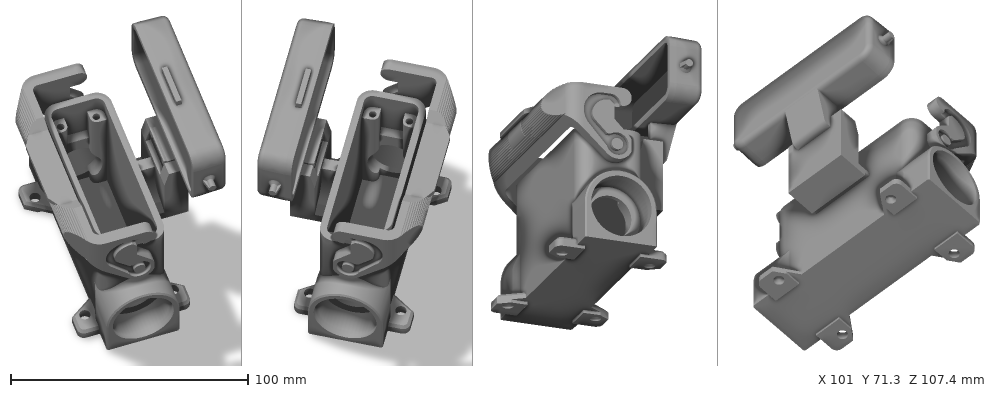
import cadquery as cq
import math

body_half_x = 40.0
body_half_y = 14.8
body_corner = 6.7
base_z = 1.4
rim_z = 57.0
wall = 3.0
floor_z = 4.4

sleeve_end_x = 50.5
sleeve_radius = 16.2
sleeve_axis_z = 17.5
sleeve_bore_radius = 13.6
entry_radius = 9.7
sleeve_edge = 0.6
sleeve_taper_start_x = 36.0
sleeve_taper_end_x = 30.4
partition = 2.5
partition_top_z = 33.3
partition_slope = 2.5

post_x = 33.1
post_y = 8.0
post_radius = 2.8
post_top_z = 49.2
post_hole_radius = 1.6
post_hole_depth = 8.6

foot_outer_x = 40.4
foot_outer_y = 25.1
foot_inner_y = 12.6
foot_tip_x = 30.7
foot_root_x = 22.0
foot_top_z = 4.4
foot_corner = 3.1
foot_edge = 1.2
foot_pad_inner_x = 27.3
foot_hole_x = 32.0
foot_hole_y = 19.8
foot_hole_radius = 2.4

lever_half_x = 45.9
lever_inner_x = 40.6
lever_top_z = 73.2
lever_inner_y = -18.5
lever_inner_corner = 2.7
pivot_z = 47.6
pivot_eye_radius = 6.9
pivot_pin_radius = 2.6
washer_radius = 3.9
hook_radius = 4.1
hook_tip_y = 6.4
throat_y = -1.3
grip_radius = 7.0
grip_axis_y = -22.0
grip_heel_y = -22.8
shoulder_y = -19.9
shoulder_angle = 31.3
shoulder_radius = 8.1
rib_count = 24
rib_depth = 0.2
panel_half_x = 7.4
panel_end_angle = math.radians(135)
dip_z = 70.9
dip_top_half_x = 24.3
dip_floor_half_x = 19.0
lip_front_y = -30.1
lip_half_x = 14.3
lip_root_y = -27.1
lip_thickness = 2.3
arm_recess = 2.0
recess_ring_radius = 5.0
recess_mouth_y = 1.5
recess_bend_y = 0.3
recess_bend_z = 68.4
recess_back_y = -2.4
recess_top_z = 69.8
recess_arch_y = -6.7
recess_front_y = -15.1
recess_front_z = 60.4
recess_elbow_y = -13.4
recess_elbow_z = 55.7
recess_tail_y = -4.9
recess_tail_z = 46.2
island_back_y = -3.2
island_top_z = 67.0
island_front_y = -11.2
island_front_z = 61.2
island_elbow_y = -9.9
island_elbow_z = 56.9
island_foot_y = -4.5
island_foot_z = 51.7
island_tail_y = -1.9

cover_half_x = 39.8
cover_bottom_z = 75.1
cover_top_z = 104.5
cover_corner = 6.4
cover_front_y = 25.8
cover_rim_y = 28.9
cover_back_y = 41.2
cover_draft = 2
cover_rim_crown = 0.2
cover_back_edge = 2.6
cover_pin_end_x = 44.6
cover_pin_y = 33.0
cover_pin_z = 89.6
cover_pin_radius = 1.6
cover_pin_base_radius = 2.7
cover_pin_base_height = 1.0
cover_pin_rib_half_z = 0.9
cover_pin_rib_height = 1.2
tab_half_x = 9.2
tab_top_z = 107.4
tab_top_back_y = 31.3
tab_root_back_y = 31.7

hinge_half_x = 15.1
hinge_back_y = 32.3
hinge_front_y = 21.6
hinge_bottom_z = 33.3
hinge_top_z = 64.7
hinge_top_front_y = 23.6
hinge_shoulder_z = 57.1
hinge_rib_top_z = 54.2
hinge_flare_z = 39.6
hinge_plate_z = 37.5
hinge_foot_y = 17.5
hinge_foot_z = 35.3
hinge_rib_half_x = 2.7
hinge_fillet = 8.1
cover_arm_slot_half_x = 6.2
cover_arm_top_z = 65.5
cover_arm_bottom_z = 57.5
cover_arm_back_y = 40.8
cover_arm_back_z = 76.5
cover_arm_sole_y = 33.8
cover_arm_heel_y = 36.4
cover_arm_heel_z = 59.4
cover_arm_web = 2.8
knuckle_y = 24.0
knuckle_lip_top_z = 66.2
knuckle_lip_front_y = 23.3
knuckle_lip_back_y = 25.0
knuckle_lip_bottom_z = 64.4
knuckle_tab_bottom_z = 62.7


def mirror_x(shape):
    """Return the shape joined with its mirror image across the YZ plane."""
    return shape.union(shape.mirror("YZ"))


def box(x0, x1, y0, y1, z0, z1):
    """Box between two opposite corners."""
    return cq.Workplane("XY").box(x1 - x0, y1 - y0, z1 - z0, centered=False).translate((x0, y0, z0))


def side_prism(profile, half_x):
    """Extrude a YZ outline symmetrically about the YZ plane."""
    return profile.extrude(half_x, both=True)


def x_cylinder(y, z, radius, x0, x1):
    """Cylinder along X."""
    return cq.Workplane("YZ", origin=(x0, y, z)).circle(radius).extrude(x1 - x0)


def rounded_block(half_x, half_y, corner, z0, z1):
    """Centred upright block with rounded vertical edges."""
    return box(-half_x, half_x, -half_y, half_y, z0, z1).edges("|Z").fillet(corner)


def make_body_block():
    """Solid outer block of the body before it is hollowed."""
    return rounded_block(body_half_x, body_half_y, body_corner, base_z, rim_z)


def make_sleeve():
    """D-shaped sleeve at the +X end, tapering into the body's long faces."""
    sleeve = (
        cq.Workplane("YZ")
        .moveTo(-sleeve_radius, base_z)
        .lineTo(-sleeve_radius, sleeve_axis_z)
        .threePointArc((0, sleeve_axis_z + sleeve_radius), (sleeve_radius, sleeve_axis_z))
        .lineTo(sleeve_radius, base_z)
        .close()
        .extrude(sleeve_end_x)
    )
    sleeve = sleeve.faces(">X").edges("not <Z").chamfer(sleeve_edge)
    plan = (
        cq.Workplane("XY")
        .moveTo(sleeve_taper_end_x, body_half_y)
        .lineTo(sleeve_taper_start_x, sleeve_radius)
        .lineTo(sleeve_end_x, sleeve_radius)
        .lineTo(sleeve_end_x, -sleeve_radius)
        .lineTo(sleeve_taper_start_x, -sleeve_radius)
        .lineTo(sleeve_taper_end_x, -body_half_y)
        .close()
        .extrude(rim_z)
    )
    return sleeve.intersect(plan)


def make_foot():
    """Mounting foot at the +X, +Y corner with a lower pad that stands below the body."""
    outline = (
        cq.Workplane("XY")
        .moveTo(foot_outer_x, foot_inner_y)
        .lineTo(foot_outer_x, foot_outer_y)
        .lineTo(foot_tip_x, foot_outer_y)
        .lineTo(foot_root_x, foot_inner_y)
        .close()
        .extrude(foot_top_z)
    )
    foot = outline.edges("|Z and >X and >Y").fillet(foot_corner)
    foot = foot.faces(">Z").chamfer(foot_edge)
    clearance = box(0, foot_pad_inner_x, 0, foot_outer_y, 0, base_z)
    hole = cq.Workplane("XY").center(foot_hole_x, foot_hole_y).circle(foot_hole_radius).extrude(foot_top_z)
    return foot.cut(clearance).cut(hole)


def make_posts():
    """Drilled screw posts filling the four cavity corners."""
    wall_x = body_half_x - wall / 2
    wall_y = body_half_y - wall / 2
    post = (
        cq.Workplane("XY", origin=(post_x, post_y, floor_z))
        .circle(post_radius)
        .extrude(post_top_z - floor_z)
        .union(box(post_x - post_radius, wall_x, post_y, wall_y, floor_z, post_top_z))
        .union(box(post_x, wall_x, post_y - post_radius, wall_y, floor_z, post_top_z))
    )
    hole = cq.Workplane("XY", origin=(post_x, post_y, post_top_z)).circle(post_hole_radius)
    post = post.cut(hole.extrude(-post_hole_depth))
    pair = mirror_x(post)
    return pair.union(pair.mirror("XZ")).intersect(make_body_block())


def make_housing():
    """Body with sleeves, feet and posts, hollowed from above and bored from both ends."""
    cavity_half_x = body_half_x - wall
    cavity_half_y = body_half_y - wall
    housing = make_body_block().union(mirror_x(make_sleeve()))
    feet = mirror_x(make_foot())
    housing = housing.union(feet).union(feet.mirror("XZ"))
    housing = housing.cut(rounded_block(cavity_half_x, cavity_half_y, body_corner - wall, floor_z, rim_z))

    partition_wall = (
        cq.Workplane("XZ")
        .moveTo(cavity_half_x, floor_z)
        .lineTo(cavity_half_x - partition, floor_z)
        .lineTo(cavity_half_x - partition, partition_top_z)
        .lineTo(cavity_half_x, partition_top_z + partition_slope)
        .close()
        .extrude(cavity_half_y, both=True)
        .intersect(make_body_block())
    )
    housing = housing.union(mirror_x(partition_wall)).union(make_posts())

    sleeve_bore = x_cylinder(0, sleeve_axis_z, sleeve_bore_radius, cavity_half_x, sleeve_end_x)
    housing = housing.cut(mirror_x(sleeve_bore))
    return housing.cut(x_cylinder(0, sleeve_axis_z, entry_radius, -sleeve_end_x, sleeve_end_x))


def lever_profile():
    """Side outline of the lever: hook, arm, pivot eye and round grip."""
    eye_reach = pivot_eye_radius * math.sqrt(0.5)
    hook_axis_y = hook_tip_y - hook_radius
    hook_bottom_z = lever_top_z - 2 * hook_radius
    throat_bottom_z = pivot_z + 2 * eye_reach - throat_y
    grip_axis_z = lever_top_z - grip_radius
    grip_heel_z = grip_axis_z - math.sqrt(grip_radius**2 - (grip_heel_y - grip_axis_y) ** 2)
    return (
        cq.Workplane("YZ")
        .moveTo(grip_axis_y, lever_top_z)
        .lineTo(hook_axis_y, lever_top_z)
        .threePointArc((hook_tip_y, lever_top_z - hook_radius), (hook_axis_y, hook_bottom_z))
        .lineTo(throat_y, hook_bottom_z)
        .lineTo(throat_y, throat_bottom_z)
        .lineTo(eye_reach, pivot_z + eye_reach)
        .threePointArc((0, pivot_z - pivot_eye_radius), (-eye_reach, pivot_z - eye_reach))
        .lineTo(grip_heel_y, grip_heel_z)
        .threePointArc((grip_axis_y - grip_radius, grip_axis_z), (grip_axis_y, lever_top_z))
        .close()
    )


def lever_plan():
    """Plan outline of the U-shaped lever with sloping shoulders."""
    shoulder_end_x = lever_half_x - (shoulder_y - lip_front_y) / math.tan(math.radians(shoulder_angle))
    outer = (
        cq.Workplane("XY")
        .moveTo(-lever_half_x, hook_tip_y)
        .lineTo(-lever_half_x, shoulder_y)
        .lineTo(-shoulder_end_x, lip_front_y)
        .lineTo(shoulder_end_x, lip_front_y)
        .lineTo(lever_half_x, shoulder_y)
        .lineTo(lever_half_x, hook_tip_y)
        .close()
        .extrude(lever_top_z)
    )
    outer = outer.edges("|Z and (<X or >X) and (not >Y)").fillet(shoulder_radius)
    inner = box(-lever_inner_x, lever_inner_x, lever_inner_y, hook_tip_y, 0, lever_top_z)
    return outer.cut(inner.edges("|Z and <Y").fillet(lever_inner_corner))


def make_grip_grooves():
    """Scalloped grooves along the round grip, leaving a smooth panel at its centre."""
    pitch = math.pi / rib_count
    axis_z = lever_top_z - grip_radius

    def on_grip(radius, angle):
        return (grip_axis_y - radius * math.sin(angle), axis_z + radius * math.cos(angle))

    grooves = cq.Workplane("YZ")
    for index in range(rib_count):
        angle = index * pitch
        start_x = panel_half_x if angle < panel_end_angle else 0
        ridge = on_grip(grip_radius, angle)
        next_ridge = on_grip(grip_radius, angle + pitch)
        valley = on_grip(grip_radius - rib_depth, angle + pitch / 2)
        outside = on_grip(grip_radius + rib_depth, angle + pitch / 2)
        groove = (
            cq.Workplane("YZ", origin=(start_x, 0, 0))
            .moveTo(*ridge)
            .threePointArc(valley, next_ridge)
            .lineTo(*outside)
            .close()
            .extrude(lever_half_x - start_x)
        )
        grooves = grooves.add(groove)
    return grooves.combine()


def make_arm_recess():
    """Shallow hooked recess in the outer face of the +X arm, around the pivot pin."""
    floor_x = lever_half_x - arm_recess
    hook_bottom_z = lever_top_z - 2 * hook_radius
    recess = (
        cq.Workplane("YZ", origin=(floor_x, 0, 0))
        .moveTo(recess_mouth_y, hook_bottom_z)
        .threePointArc((recess_bend_y, recess_bend_z), (recess_back_y, recess_top_z))
        .lineTo(recess_arch_y, recess_top_z)
        .tangentArcPoint((recess_front_y, recess_front_z), relative=False)
        .tangentArcPoint((recess_elbow_y, recess_elbow_z), relative=False)
        .lineTo(recess_tail_y, recess_tail_z)
        .lineTo(0, pivot_z)
        .lineTo(island_tail_y, island_foot_z)
        .lineTo(island_foot_y, island_foot_z)
        .lineTo(island_elbow_y, island_elbow_z)
        .tangentArcPoint((island_front_y, island_front_z), relative=False)
        .tangentArcPoint((island_back_y, island_top_z), relative=False)
        .lineTo(throat_y, hook_bottom_z)
        .close()
        .extrude(arm_recess)
    )
    ring = x_cylinder(0, pivot_z, recess_ring_radius, floor_x, lever_half_x)
    return recess.union(ring)


def make_lever():
    """Locking lever with its ribbed grip, thumb lip and pivot pins."""
    lever = side_prism(lever_profile(), lever_half_x).intersect(lever_plan())
    lever = lever.cut(mirror_x(make_grip_grooves()))
    dip = (
        cq.Workplane("XZ")
        .moveTo(-dip_top_half_x, lever_top_z)
        .lineTo(-dip_floor_half_x, dip_z)
        .lineTo(dip_floor_half_x, dip_z)
        .lineTo(dip_top_half_x, lever_top_z)
        .close()
        .extrude(-lip_front_y)
    )
    lip = (
        cq.Workplane("XY", origin=(0, 0, dip_z))
        .moveTo(-dip_floor_half_x, grip_axis_y)
        .lineTo(-dip_floor_half_x, lip_root_y)
        .lineTo(-lip_half_x, lip_front_y)
        .lineTo(lip_half_x, lip_front_y)
        .lineTo(dip_floor_half_x, lip_root_y)
        .lineTo(dip_floor_half_x, grip_axis_y)
        .close()
        .extrude(-lip_thickness)
    )
    lever = lever.cut(dip).union(lip).cut(mirror_x(make_arm_recess()))
    pin = x_cylinder(0, pivot_z, pivot_pin_radius, body_half_x - wall / 2, lever_half_x)
    washer = x_cylinder(0, pivot_z, washer_radius, body_half_x - wall / 2, lever_inner_x)
    return lever.union(mirror_x(pin.union(washer)))


def cover_outline(y, half_x, half_z, corner):
    """Rounded rectangle facing +Y, centred on the cover."""
    centre_z = (cover_bottom_z + cover_top_z) / 2
    outline = cq.Sketch().rect(2 * half_x, 2 * half_z).vertices().fillet(corner)
    plane = cq.Plane(origin=(0, y, centre_z), xDir=(-1, 0, 0), normal=(0, 1, 0))
    return cq.Workplane(plane).placeSketch(outline)


def make_cover_shell():
    """Open tray: drafted rim and shell, with a crowned front edge."""
    half_z = (cover_top_z - cover_bottom_z) / 2
    crown_base_y = cover_front_y + cover_rim_crown
    rim_depth = cover_rim_y - crown_base_y
    rim_inset = rim_depth * math.tan(math.radians(cover_draft))

    outside = (cover_half_x, half_z, cover_corner)
    rim = cover_outline(cover_rim_y, *outside).extrude(-rim_depth, taper=cover_draft)
    shell = cover_outline(cover_rim_y, *outside)
    shell = shell.extrude(cover_back_y - cover_rim_y, taper=cover_draft)
    shell = shell.faces(">Y").edges().fillet(cover_back_edge)

    inside = (cover_half_x - wall, half_z - wall, cover_corner - wall)
    pocket = cover_outline(cover_rim_y, *inside).extrude(cover_back_y - wall - cover_rim_y)
    mouth = cover_outline(cover_rim_y, *inside).extrude(-rim_depth, taper=-cover_draft)

    edge_half = wall / 2 - rim_inset
    edge_z = cover_bottom_z + wall / 2
    crown_path = (
        cover_outline(crown_base_y, cover_half_x - wall / 2, half_z - wall / 2, cover_corner - wall / 2)
        .extrude(1.1)
        .faces("<Y")
        .wires()
    )
    crown = (
        cq.Workplane("YZ")
        .moveTo(crown_base_y, edge_z - edge_half)
        .threePointArc((cover_front_y, edge_z), (crown_base_y, edge_z + edge_half))
        .close()
        .sweep(crown_path)
    )
    return shell.union(rim).cut(pocket).cut(mouth).union(crown)


def make_cover_pin():
    """Latch pin on the cover's +X end, with a conical root and a thin rib in front."""
    root_x = cover_half_x - wall / 2
    pin = x_cylinder(cover_pin_y, cover_pin_z, cover_pin_radius, root_x, cover_pin_end_x)
    cone_length = cover_pin_base_height + wall / 2
    cone = (
        cq.Workplane("YZ", origin=(root_x, cover_pin_y, cover_pin_z))
        .circle(cover_pin_base_radius + wall / 2)
        .workplane(offset=cone_length)
        .circle(cover_pin_radius)
        .loft()
    )
    pin_front_y = cover_pin_y - cover_pin_radius
    rib = (
        cq.Workplane("XY", origin=(0, 0, cover_pin_z))
        .moveTo(root_x, cover_pin_y)
        .lineTo(root_x, pin_front_y - cover_pin_rib_height)
        .lineTo(cover_half_x, pin_front_y - cover_pin_rib_height)
        .lineTo(cover_pin_end_x, pin_front_y)
        .lineTo(cover_pin_end_x, cover_pin_y)
        .close()
        .extrude(cover_pin_rib_half_z, both=True)
    )
    return pin.union(cone).union(rib)


def make_cover():
    """Cover tray with its top tab and end pins."""
    tab_root_z = cover_top_z - wall / 2
    tab = side_prism(
        cq.Workplane("YZ")
        .moveTo(cover_rim_y, tab_root_z)
        .lineTo(cover_rim_y, tab_top_z)
        .lineTo(tab_top_back_y, tab_top_z)
        .lineTo(tab_root_back_y, tab_root_z)
        .close(),
        tab_half_x,
    )
    return make_cover_shell().union(tab).union(mirror_x(make_cover_pin()))


def make_cover_arm():
    """Arm below the cover: two legs joined by a slanted web, ending in a lipped knuckle."""
    back_slope = (cover_arm_back_y - cover_arm_heel_y) / (cover_arm_back_z - cover_arm_heel_z)

    def web_front_y(z):
        return cover_arm_back_y - (cover_arm_back_z - z) * back_slope - cover_arm_web

    arm = side_prism(
        cq.Workplane("YZ")
        .moveTo(cover_rim_y, cover_bottom_z + wall / 2)
        .lineTo(cover_rim_y, cover_arm_top_z)
        .lineTo(knuckle_y, cover_arm_top_z)
        .lineTo(knuckle_y, cover_arm_bottom_z)
        .lineTo(cover_arm_sole_y, cover_arm_bottom_z)
        .tangentArcPoint((cover_arm_heel_y, cover_arm_heel_z), relative=False)
        .lineTo(cover_arm_back_y, cover_arm_back_z)
        .close(),
        tab_half_x,
    )
    slot = side_prism(
        cq.Workplane("YZ")
        .moveTo(cover_rim_y, cover_bottom_z)
        .lineTo(web_front_y(cover_bottom_z), cover_bottom_z)
        .lineTo(web_front_y(cover_arm_top_z), cover_arm_top_z)
        .lineTo(cover_rim_y, cover_arm_top_z)
        .close(),
        cover_arm_slot_half_x,
    )
    lip = side_prism(
        cq.Workplane("YZ")
        .moveTo(knuckle_lip_back_y, cover_arm_top_z)
        .lineTo(knuckle_y, knuckle_lip_top_z)
        .lineTo(knuckle_lip_front_y, knuckle_lip_top_z)
        .lineTo(knuckle_lip_front_y, knuckle_lip_bottom_z)
        .lineTo(knuckle_lip_back_y, knuckle_lip_bottom_z)
        .close(),
        tab_half_x,
    )
    lip_tab = box(
        cover_arm_slot_half_x,
        tab_half_x,
        knuckle_lip_front_y,
        knuckle_y,
        knuckle_tab_bottom_z,
        knuckle_lip_bottom_z,
    )
    return arm.cut(slot).union(lip).union(mirror_x(lip_tab))


def make_hinge():
    """Bracket on the back of the body: two cheeks around the knuckle and a flared rib."""
    root_y = body_half_y - wall / 2
    block = side_prism(
        cq.Workplane("YZ")
        .moveTo(hinge_back_y, hinge_bottom_z)
        .lineTo(hinge_back_y, hinge_top_z)
        .lineTo(hinge_top_front_y, hinge_top_z)
        .lineTo(hinge_front_y, hinge_shoulder_z)
        .lineTo(hinge_front_y, hinge_plate_z)
        .lineTo(root_y, hinge_plate_z)
        .lineTo(root_y, hinge_foot_z)
        .lineTo(hinge_foot_y, hinge_foot_z)
        .lineTo(hinge_foot_y, hinge_bottom_z)
        .close(),
        hinge_half_x,
    )
    block = block.cut(box(-tab_half_x, tab_half_x, root_y, knuckle_y, hinge_shoulder_z, hinge_top_z))
    arc_inset = hinge_fillet * (1 - math.sqrt(0.5))
    half_rib = (
        cq.Workplane("XZ", origin=(0, hinge_front_y, 0))
        .moveTo(0, hinge_plate_z)
        .lineTo(0, hinge_rib_top_z)
        .lineTo(hinge_rib_half_x, hinge_rib_top_z)
        .lineTo(hinge_rib_half_x, hinge_flare_z + hinge_fillet)
        .threePointArc(
            (hinge_rib_half_x + arc_inset, hinge_flare_z + arc_inset),
            (hinge_rib_half_x + hinge_fillet, hinge_flare_z),
        )
        .lineTo(hinge_half_x, hinge_plate_z)
        .close()
        .extrude(hinge_front_y - root_y)
    )
    return block.union(mirror_x(half_rib))


result = make_housing().union(make_lever()).union(make_cover()).union(make_cover_arm()).union(make_hinge())